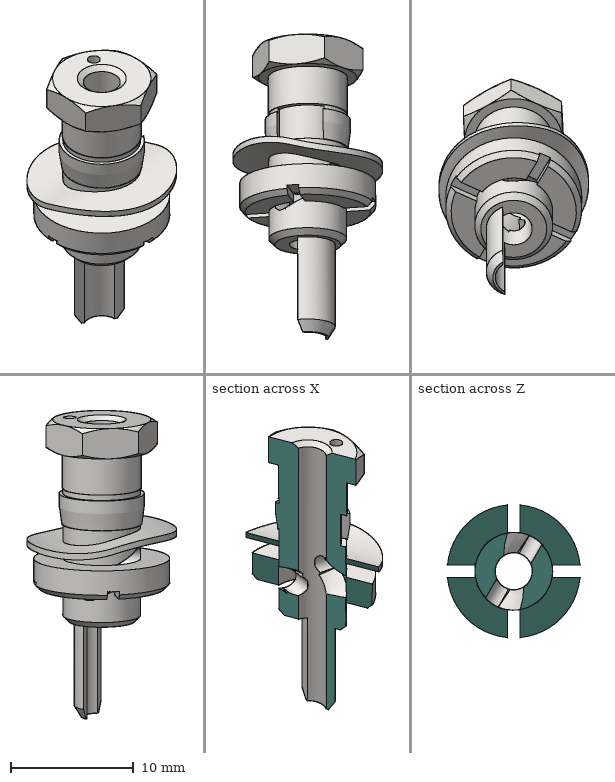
import cadquery as cq
import math

TOTAL_HEIGHT = 24.6

HEX_SIDES = 6
HEX_ACROSS_FLATS = 8.0
HEX_HEIGHT = 2.5
HEX_CHAMFER_ANGLE = 30.0

SHANK_RADIUS = 3.22
SHANK_BOTTOM = 18.95
NECK_RADIUS = 3.17
NECK_BOTTOM = 18.5
COLLAR_RADIUS = 3.47
COLLAR_BOTTOM = 17.42
TAPER_END_RADIUS = 3.27
TAPER_BOTTOM = 16.0
BARREL_RADIUS = 3.17
BARREL_BOTTOM = 7.9
BARREL_CHAMFER = 0.5

GAP_WIDTH = 3.84
GAP_FLOOR_RADIUS = 2.73

BORE_RADIUS = 1.5
COUNTERSINK_RADIUS = 2.0
COUNTERSINK_DEPTH = 0.37
INDEX_ANGLE = 150.0
INDEX_HOLE_DISTANCE = 2.78
INDEX_HOLE_RADIUS = 0.52
INDEX_HOLE_DEPTH = 0.98
DRILL_POINT_ANGLE = 118.0

TAIL_RADIUS = 2.25
TAIL_TIP_RADIUS = 1.7
TAIL_TIP_HEIGHT = 0.9
TAIL_CUT_OFFSET = 0.8

SLOT_COUNT = 2
SLOT_WIDTH = 1.77
SLOT_START_ANGLE = -120.0
SLOT_SWEEP_ANGLE = 90.0
SLOT_START_HEIGHT = 11.05
SLOT_RISE = 2.25
SLOT_OVERRUN = 0.25

NUT_RADIUS = 5.54
NUT_TOP = 13.1
NUT_HEIGHT = 2.45
NUT_CHAMFER = 0.45
NOTCH_WIDTH = 0.98
NOTCH_DEPTH = 0.71

WASHER_RADIUS = 6.1
WASHER_THICKNESS = 0.52
WASHER_MID_HEIGHT = 14.85
WAVE_CREST = 0.57
WAVE_CREST_POSITION = 3.94
WAVE_END_RISE = 0.4


def cylinder(radius, bottom, top):
    """Upright cylinder on the Z axis between two heights."""
    return cq.Workplane("XY").workplane(offset=bottom).circle(radius).extrude(top - bottom)


def make_hex_head():
    """Hexagon with corners on the X axis, its corners chamfered at both ends."""
    flat_radius = HEX_ACROSS_FLATS / 2
    corner_radius = flat_radius / math.cos(math.pi / HEX_SIDES)
    chamfer_drop = (corner_radius - flat_radius) * math.tan(math.radians(HEX_CHAMFER_ANGLE))
    bottom = TOTAL_HEIGHT - HEX_HEIGHT
    prism = (
        cq.Workplane("XY")
        .workplane(offset=bottom)
        .polygon(HEX_SIDES, 2 * corner_radius)
        .extrude(HEX_HEIGHT)
    )
    envelope = (
        cq.Workplane("XZ")
        .moveTo(0, bottom)
        .lineTo(flat_radius, bottom)
        .lineTo(corner_radius, bottom + chamfer_drop)
        .lineTo(corner_radius, TOTAL_HEIGHT - chamfer_drop)
        .lineTo(flat_radius, TOTAL_HEIGHT)
        .lineTo(0, TOTAL_HEIGHT)
        .close()
        .revolve(360, (0, 0, 0), (0, 1, 0))
    )
    return prism.intersect(envelope)


def make_turned_body():
    """Shank, neck, collar, taper and barrel as one revolved profile."""
    return (
        cq.Workplane("XZ")
        .moveTo(0, BARREL_BOTTOM)
        .lineTo(BARREL_RADIUS - BARREL_CHAMFER, BARREL_BOTTOM)
        .lineTo(BARREL_RADIUS, BARREL_BOTTOM + BARREL_CHAMFER)
        .lineTo(BARREL_RADIUS, TAPER_BOTTOM)
        .lineTo(TAPER_END_RADIUS, TAPER_BOTTOM)
        .lineTo(COLLAR_RADIUS, COLLAR_BOTTOM)
        .lineTo(COLLAR_RADIUS, NECK_BOTTOM)
        .lineTo(NECK_RADIUS, NECK_BOTTOM)
        .lineTo(NECK_RADIUS, SHANK_BOTTOM)
        .lineTo(SHANK_RADIUS, SHANK_BOTTOM)
        .lineTo(SHANK_RADIUS, TOTAL_HEIGHT - HEX_HEIGHT)
        .lineTo(0, TOTAL_HEIGHT - HEX_HEIGHT)
        .close()
        .revolve(360, (0, 0, 0), (0, 1, 0))
    )


def make_collar_gap():
    """Cutter that opens the neck, collar and taper on the +Y side, down to a round floor."""
    block = (
        cq.Workplane("XY")
        .workplane(offset=TAPER_BOTTOM)
        .center(0, COLLAR_RADIUS)
        .rect(GAP_WIDTH, 2 * COLLAR_RADIUS)
        .extrude(SHANK_BOTTOM - TAPER_BOTTOM)
    )
    return block.cut(cylinder(GAP_FLOOR_RADIUS, TAPER_BOTTOM, SHANK_BOTTOM))


def make_tail():
    """Round tail with a tapered tip, kept only beyond a flat plane on the index side."""
    shaft = cylinder(TAIL_RADIUS, TAIL_TIP_HEIGHT, BARREL_BOTTOM)
    tip = (
        cq.Workplane("XY")
        .circle(TAIL_TIP_RADIUS)
        .workplane(offset=TAIL_TIP_HEIGHT)
        .circle(TAIL_RADIUS)
        .loft(ruled=True)
    )
    kept_side = (
        cq.Workplane("XY")
        .center(TAIL_CUT_OFFSET + TAIL_RADIUS, 0)
        .rect(2 * TAIL_RADIUS, 2 * TAIL_RADIUS)
        .extrude(BARREL_BOTTOM)
        .rotate((0, 0, 0), (0, 0, 1), INDEX_ANGLE)
    )
    return shaft.union(tip).intersect(kept_side)


def make_bore():
    """Cutter for the full-length bore and its countersink at the head."""
    countersink_bottom = TOTAL_HEIGHT - COUNTERSINK_DEPTH
    return (
        cq.Workplane("XZ")
        .lineTo(BORE_RADIUS, 0)
        .lineTo(BORE_RADIUS, countersink_bottom)
        .lineTo(COUNTERSINK_RADIUS, TOTAL_HEIGHT)
        .lineTo(0, TOTAL_HEIGHT)
        .close()
        .revolve(360, (0, 0, 0), (0, 1, 0))
    )


def make_index_hole():
    """Cutter for the blind drilled hole in the head."""
    point_depth = INDEX_HOLE_RADIUS / math.tan(math.radians(DRILL_POINT_ANGLE / 2))
    shoulder = TOTAL_HEIGHT - INDEX_HOLE_DEPTH
    return (
        cq.Workplane("XZ")
        .moveTo(0, shoulder - point_depth)
        .lineTo(INDEX_HOLE_RADIUS, shoulder)
        .lineTo(INDEX_HOLE_RADIUS, TOTAL_HEIGHT)
        .lineTo(0, TOTAL_HEIGHT)
        .close()
        .revolve(360, (0, 0, 0), (0, 1, 0))
        .translate((INDEX_HOLE_DISTANCE, 0, 0))
        .rotate((0, 0, 0), (0, 0, 1), INDEX_ANGLE)
    )


def make_slot(start_angle):
    """Cutter for one helical slot with round ends, reaching from inside the bore past the barrel.

    The section is square to the helix at the barrel surface. It widens inwards because the
    helix gets steeper there, as it would for a slot milled with a round cutter.
    """
    inner_radius = BORE_RADIUS - SLOT_OVERRUN
    outer_radius = BARREL_RADIUS + SLOT_OVERRUN
    pitch = SLOT_RISE * 360 / SLOT_SWEEP_ANGLE
    lead_angle = math.atan2(pitch, 2 * math.pi * BARREL_RADIUS)

    def half_width(radius):
        local_lead = math.atan2(pitch, 2 * math.pi * radius)
        return SLOT_WIDTH / 2 * math.cos(lead_angle) / math.cos(local_lead)

    helix = cq.Workplane(cq.Wire.makeHelix(pitch, SLOT_RISE, BARREL_RADIUS))
    start_plane = cq.Plane(
        origin=(0, 0, 0),
        xDir=(1, 0, 0),
        normal=(0, math.cos(lead_angle), math.sin(lead_angle)),
    )
    slot = (
        cq.Workplane(start_plane)
        .moveTo(inner_radius, -half_width(inner_radius))
        .lineTo(outer_radius, -half_width(outer_radius))
        .lineTo(outer_radius, half_width(outer_radius))
        .lineTo(inner_radius, half_width(inner_radius))
        .close()
        .sweep(helix, isFrenet=True)
    )
    for angle, height in ((0, 0), (SLOT_SWEEP_ANGLE, SLOT_RISE)):
        round_end = (
            cq.Workplane("YZ")
            .workplane(offset=inner_radius)
            .circle(SLOT_WIDTH / 2)
            .extrude(outer_radius - inner_radius)
            .rotate((0, 0, 0), (0, 0, 1), angle)
            .translate((0, 0, height))
        )
        slot = slot.union(round_end)
    return slot.rotate((0, 0, 0), (0, 0, 1), start_angle).translate((0, 0, SLOT_START_HEIGHT))


def make_socket():
    """Turned, hexagon-headed socket with its tail, bore, collar gap and bayonet slots."""
    socket = make_turned_body().union(make_hex_head()).union(make_tail())
    socket = socket.cut(make_collar_gap()).cut(make_bore()).cut(make_index_hole())
    for index in range(SLOT_COUNT):
        socket = socket.cut(make_slot(SLOT_START_ANGLE + index * 360 / SLOT_COUNT))
    return socket


def make_nut():
    """Round nut on the barrel with a chamfered lower rim and crossed wrench notches."""
    bottom = NUT_TOP - NUT_HEIGHT
    nut = cylinder(NUT_RADIUS, bottom, NUT_TOP).faces("<Z").edges().chamfer(NUT_CHAMFER)
    nut = nut.cut(cylinder(BARREL_RADIUS, bottom, NUT_TOP))
    for angle in (0, 90):
        notch = (
            cq.Workplane("XY")
            .workplane(offset=bottom)
            .rect(2 * NUT_RADIUS, NOTCH_WIDTH)
            .extrude(NOTCH_DEPTH)
            .rotate((0, 0, 0), (0, 0, 1), angle)
        )
        nut = nut.cut(notch)
    return nut


def make_washer():
    """Wave washer: an S-shaped strip along X, trimmed to a ring around the barrel."""
    top = WASHER_MID_HEIGHT + WASHER_THICKNESS / 2
    bottom = top - WASHER_THICKNESS
    end, crest = WASHER_RADIUS, WAVE_CREST_POSITION
    strip = (
        cq.Workplane("XZ")
        .moveTo(-end, top - WAVE_END_RISE)
        .threePointArc((-crest, top - WAVE_CREST), (0, top))
        .threePointArc((crest, top + WAVE_CREST), (end, top + WAVE_END_RISE))
        .lineTo(end, bottom + WAVE_END_RISE)
        .threePointArc((crest, bottom + WAVE_CREST), (0, bottom))
        .threePointArc((-crest, bottom - WAVE_CREST), (-end, bottom - WAVE_END_RISE))
        .close()
        .extrude(WASHER_RADIUS, both=True)
    )
    lowest = bottom - WAVE_CREST - WASHER_THICKNESS
    highest = top + WAVE_CREST + WASHER_THICKNESS
    ring = cylinder(WASHER_RADIUS, lowest, highest).cut(cylinder(BARREL_RADIUS, lowest, highest))
    return strip.intersect(ring)


socket = make_socket()
nut = make_nut()
washer = make_washer()

result = cq.Compound.makeCompound([socket.val(), nut.val(), washer.val()])